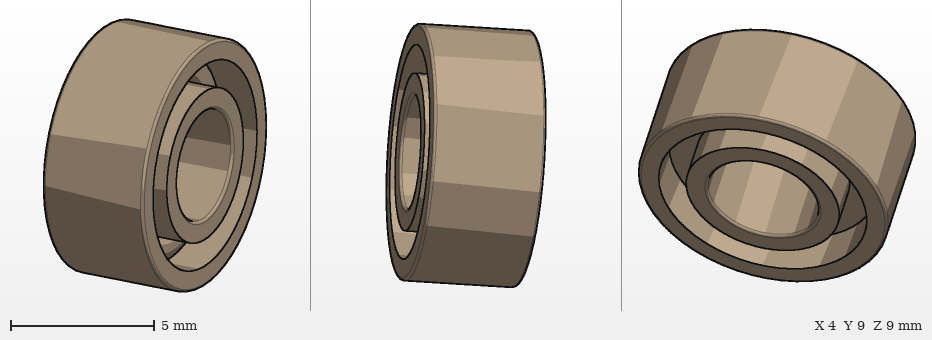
import cadquery as cq

outer_diameter = 9.0
bore_diameter = 4.0
width = 4.0
inner_ring_outer_diameter = 5.53
outer_ring_inner_diameter = 7.51
edge_radius = 0.1

gap = (outer_ring_inner_diameter - inner_ring_outer_diameter) / 2
pitch_radius = (outer_ring_inner_diameter + inner_ring_outer_diameter) / 4
race_overlap = 0.25
torus_radius = gap / 2 + race_overlap


def ring(outside, inside):
    """Plain ring along X, centred on the YZ plane."""
    return (
        cq.Workplane("YZ", origin=(-width / 2, 0, 0))
        .circle(outside / 2)
        .circle(inside / 2)
        .extrude(width)
    )


outer_ring = ring(outer_diameter, outer_ring_inner_diameter)
outer_rims = cq.selectors.RadiusNthSelector(-1)
outer_ring = outer_ring.edges("%CIRCLE").edges(outer_rims).fillet(edge_radius)

inner_ring = ring(inner_ring_outer_diameter, bore_diameter)
bore_rims = cq.selectors.RadiusNthSelector(0)
inner_ring = inner_ring.edges("%CIRCLE").edges(bore_rims).fillet(edge_radius)

rolling_torus = cq.Workplane("XY").add(
    cq.Solid.makeTorus(pitch_radius, torus_radius, cq.Vector(0, 0, 0), cq.Vector(1, 0, 0))
)

result = outer_ring.union(inner_ring).union(rolling_torus)